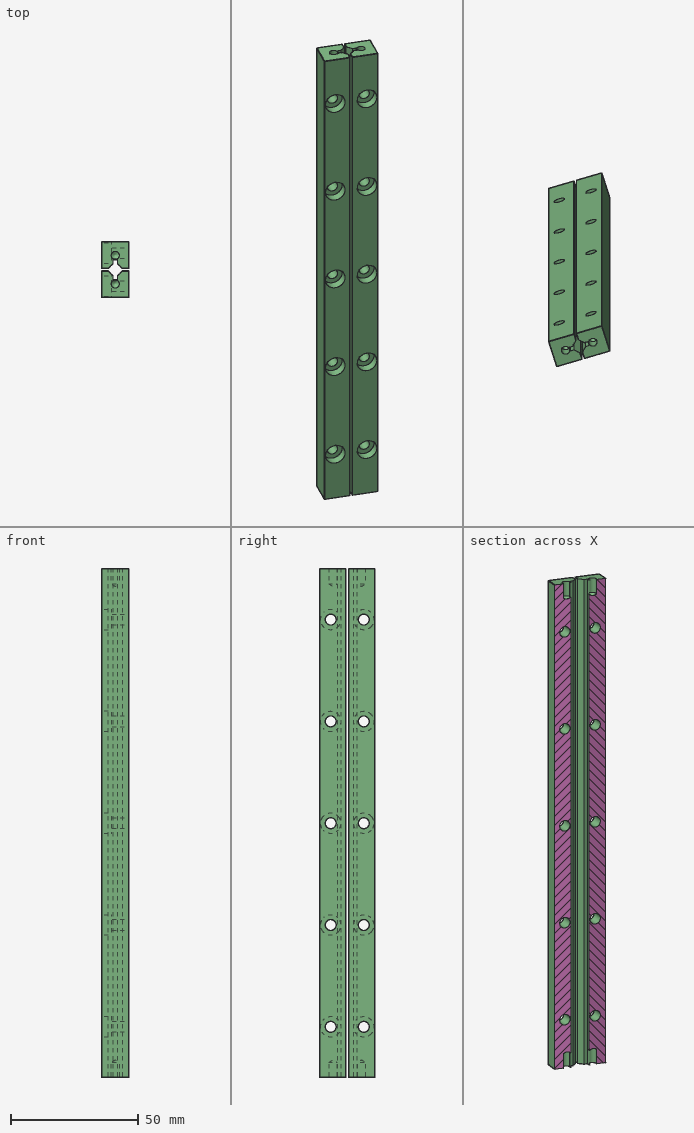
import cadquery as cq

WIDTH = 11.0
PAIR_DEPTH = 22.0
LENGTH = 200.0
SEAM_GAP = 0.8
RAIL_DEPTH = (PAIR_DEPTH - SEAM_GAP) / 2
EDGE_CHAMFER = 0.2

V_HALF_WIDTH = 3.2
RELIEF_WIDTH = 1.5
RELIEF_DEPTH = 3.8

HOLE_DIAMETER = 4.2
COUNTERBORE_DIAMETER = 8.0
COUNTERBORE_DEPTH = 4.0
HOLE_SPACING_Y = 13.0
HOLE_PITCH = 40.0
HOLE_COUNT = 5

END_HOLE_DIAMETER = 3.2
END_HOLE_DEPTH = 6.0
END_HOLE_Y = 5.5
DRILL_TIP_DEPTH = 1.0


def rail_blank():
    """Bar on the +Y side of the pair, with all its edges chamfered."""
    return (
        cq.Workplane("XY")
        .box(WIDTH, RAIL_DEPTH, LENGTH)
        .translate((0, SEAM_GAP / 2 + RAIL_DEPTH / 2, 0))
        .edges()
        .chamfer(EDGE_CHAMFER)
    )


def raceway():
    """Full-length V groove and relief slot facing the other rail."""
    half_relief = RELIEF_WIDTH / 2
    v_depth = V_HALF_WIDTH - half_relief
    return (
        cq.Workplane("XY")
        .workplane(offset=-LENGTH / 2)
        .moveTo(-V_HALF_WIDTH, 0)
        .lineTo(-half_relief, v_depth)
        .lineTo(-half_relief, RELIEF_DEPTH)
        .lineTo(half_relief, RELIEF_DEPTH)
        .lineTo(half_relief, v_depth)
        .lineTo(V_HALF_WIDTH, 0)
        .close()
        .extrude(LENGTH)
    )


def mounting_hole(z):
    """Through hole along X with its counterbore on the -X face."""
    start = cq.Vector(-WIDTH / 2, HOLE_SPACING_Y / 2, z)
    along_x = cq.Vector(1, 0, 0)
    hole = cq.Solid.makeCylinder(HOLE_DIAMETER / 2, WIDTH, start, along_x)
    counterbore = cq.Solid.makeCylinder(COUNTERBORE_DIAMETER / 2, COUNTERBORE_DEPTH, start, along_x)
    return hole.fuse(counterbore)


def end_hole(side):
    """Blind hole in the +Z end (side = 1) or the -Z end (side = -1)."""
    radius = END_HOLE_DIAMETER / 2
    inward = cq.Vector(0, 0, -side)
    mouth = cq.Vector(0, END_HOLE_Y, side * LENGTH / 2)
    bore = cq.Solid.makeCylinder(radius, END_HOLE_DEPTH, mouth, inward)
    tip = cq.Solid.makeCone(radius, 0, DRILL_TIP_DEPTH, mouth + inward * END_HOLE_DEPTH, inward)
    return bore.fuse(tip)


def make_rail():
    """One complete rail, on the +Y side of the pair."""
    rail = rail_blank().cut(raceway())
    for index in range(HOLE_COUNT):
        z = (index - (HOLE_COUNT - 1) / 2) * HOLE_PITCH
        rail = rail.cut(cq.Workplane(mounting_hole(z)))
    for side in (1, -1):
        rail = rail.cut(cq.Workplane(end_hole(side)))
    return rail


rail = make_rail()
rails = [rail.val(), rail.mirror("XZ").val()]

result = cq.Compound.makeCompound(rails)